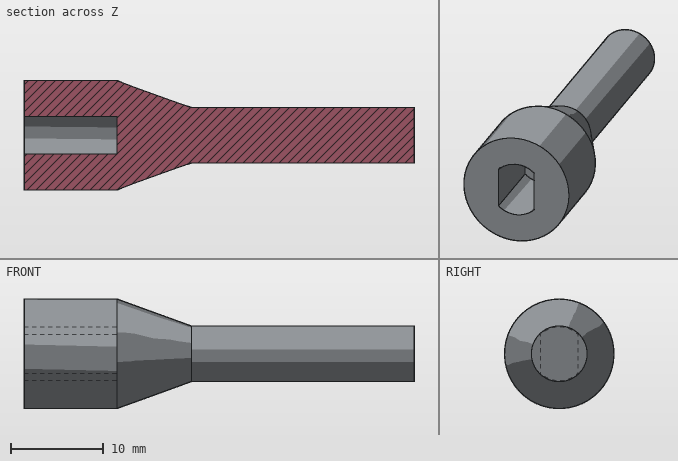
import cadquery as cq

head_diameter = 11.8
head_length = 10.0
cone_length = 8.0
shank_diameter = 6.0
shank_length = 24.0

socket_diameter = 5.8
socket_flat_width = 4.0
socket_depth = 10.0


def make_body():
    """Head, cone and shank as one revolved profile around the X axis."""
    cone_end = head_length + cone_length
    shank_end = cone_end + shank_length
    profile = (
        cq.Workplane("XZ")
        .moveTo(0, 0)
        .lineTo(0, head_diameter / 2)
        .lineTo(head_length, head_diameter / 2)
        .lineTo(cone_end, shank_diameter / 2)
        .lineTo(shank_end, shank_diameter / 2)
        .lineTo(shank_end, 0)
        .close()
    )
    return profile.revolve(360, (0, 0, 0), (1, 0, 0))


def make_socket():
    """Cylinder trimmed to parallel flats facing +Y and -Y."""
    bore = cq.Workplane("YZ").circle(socket_diameter / 2).extrude(socket_depth)
    flats = cq.Workplane("YZ").rect(socket_flat_width, socket_diameter).extrude(socket_depth)
    return bore.intersect(flats)


result = make_body().cut(make_socket())